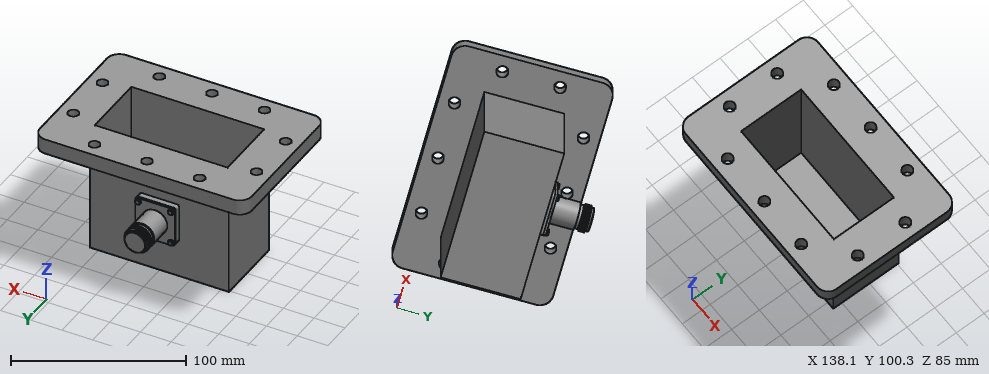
import cadquery as cq


FLANGE_LENGTH = 138.1
FLANGE_WIDTH = 95.3
FLANGE_THICKNESS = 10.0
FLANGE_CORNER_RADIUS = 8.0
BOLT_HOLE_DIAMETER = 6.8
BOLT_PITCH = 34.2
BOLT_ROW_Y = 38.3
BOLT_COLUMN_X = 59.7

OVERALL_HEIGHT = 85.0
BORE_LENGTH = 86.5
BORE_WIDTH = 43.2
WALL_THICKNESS = 2.1
END_PLATE_THICKNESS = 2.3
TUBE_LENGTH = BORE_LENGTH + 2 * WALL_THICKNESS
TUBE_WIDTH = BORE_WIDTH + 2 * WALL_THICKNESS
TUBE_BOTTOM_Z = END_PLATE_THICKNESS - OVERALL_HEIGHT

CONNECTOR_Z = -48.0
PAD_SIDE = 25.7
PAD_CORNER_RADIUS = 1.5
PAD_THICKNESS = 3.9
CONNECTOR_FLANGE_THICKNESS = 1.5
TUBE_FACE_Y = TUBE_WIDTH / 2
PAD_FACE_Y = TUBE_FACE_Y + PAD_THICKNESS
CONNECTOR_FACE_Y = PAD_FACE_Y + CONNECTOR_FLANGE_THICKNESS

CONNECTOR_REACH = 5.0
NOSE_TIP_Y = FLANGE_WIDTH / 2 + CONNECTOR_REACH
BARREL_RADIUS = 8.1
BARREL_END_Y = 44.2
NECK_RADIUS = 7.2
NECK_END_Y = 46.1
THREAD_ROOT_RADIUS = 7.0
THREAD_CREST_RADIUS = 8.0
THREAD_CREST_WIDTH = 0.3
THREAD_PITCH = 1.06
THREAD_RIDGES = 4
THREAD_START_Y = 46.7
NOSE_CHAMFER = 0.4

SCREW_SPACING = 21.4
SCREW_HEAD_DIAMETER = 3.6
SCREW_HEAD_HEIGHT = 1.4
SCREW_HEAD_CHAMFER = 0.4


def bolt_positions():
    """Three holes along each long edge and two along each short edge."""
    rows = [(column * BOLT_PITCH, side * BOLT_ROW_Y) for column in (-1, 0, 1) for side in (-1, 1)]
    columns = [(side * BOLT_COLUMN_X, half * BOLT_PITCH / 2) for side in (-1, 1) for half in (-1, 1)]
    return rows + columns


def plane_facing_y(y):
    """Plane at the given Y, normal to +Y, centred on the connector axis."""
    return cq.Workplane(cq.Plane(origin=(0, y, CONNECTOR_Z), xDir=(-1, 0, 0), normal=(0, 1, 0)))


def connector_square(start_y, thickness):
    """Square plate with rounded corners, square to the connector axis."""
    plate = plane_facing_y(start_y).rect(PAD_SIDE, PAD_SIDE).extrude(thickness)
    return plate.edges("|Y").fillet(PAD_CORNER_RADIUS)


def make_flange():
    flange = cq.Workplane("XY").rect(FLANGE_LENGTH, FLANGE_WIDTH).extrude(-FLANGE_THICKNESS)
    flange = flange.edges("|Z").fillet(FLANGE_CORNER_RADIUS)
    bolt_centres = cq.Workplane("XY").pushPoints(bolt_positions())
    holes = bolt_centres.circle(BOLT_HOLE_DIAMETER / 2).extrude(-FLANGE_THICKNESS)
    return flange.cut(holes)


def make_housing():
    """Flange, tube, closing end plate and connector pad as one solid."""
    tube = cq.Workplane("XY").rect(TUBE_LENGTH, TUBE_WIDTH).extrude(TUBE_BOTTOM_Z)
    bore = cq.Workplane("XY").rect(BORE_LENGTH, BORE_WIDTH).extrude(TUBE_BOTTOM_Z)
    end_plate = (
        cq.Workplane("XY")
        .workplane(offset=TUBE_BOTTOM_Z)
        .rect(TUBE_LENGTH, TUBE_WIDTH)
        .extrude(-END_PLATE_THICKNESS)
    )
    pad = connector_square(TUBE_FACE_Y, PAD_THICKNESS)
    open_tube = make_flange().union(tube).union(pad).cut(bore)
    return open_tube.union(end_plate, clean=False)


def make_barrel():
    """Barrel, neck and nose turned about the connector axis."""
    barrel_length = BARREL_END_Y - CONNECTOR_FACE_Y
    barrel = plane_facing_y(CONNECTOR_FACE_Y).circle(BARREL_RADIUS).extrude(barrel_length)
    neck = plane_facing_y(BARREL_END_Y).circle(NECK_RADIUS).extrude(NECK_END_Y - BARREL_END_Y)
    nose = plane_facing_y(NECK_END_Y).circle(THREAD_ROOT_RADIUS).extrude(NOSE_TIP_Y - NECK_END_Y)
    nose = nose.faces(">Y").chamfer(NOSE_CHAMFER)
    return barrel.union(neck).union(nose)


def make_thread_ridge(index):
    """One ridge of the nose thread, simplified to a ring with sloping flanks and a flat crest."""
    start_y = THREAD_START_Y + index * THREAD_PITCH
    end_y = start_y + THREAD_PITCH
    flank_width = (THREAD_PITCH - THREAD_CREST_WIDTH) / 2
    ridge = (
        cq.Workplane("XY")
        .moveTo(0, start_y)
        .lineTo(THREAD_ROOT_RADIUS, start_y)
        .lineTo(THREAD_CREST_RADIUS, start_y + flank_width)
        .lineTo(THREAD_CREST_RADIUS, end_y - flank_width)
        .lineTo(THREAD_ROOT_RADIUS, end_y)
        .lineTo(0, end_y)
        .close()
        .revolve(360, (0, 0, 0), (0, 1, 0))
    )
    return ridge.translate((0, 0, CONNECTOR_Z))


def make_screw_heads():
    heads = (
        plane_facing_y(CONNECTOR_FACE_Y)
        .rect(SCREW_SPACING, SCREW_SPACING, forConstruction=True)
        .vertices()
        .circle(SCREW_HEAD_DIAMETER / 2)
        .extrude(SCREW_HEAD_HEIGHT)
    )
    return heads.faces(">Y").chamfer(SCREW_HEAD_CHAMFER)


def make_connector():
    """Flange-mount coax connector with its screw heads and threaded nose."""
    connector = connector_square(PAD_FACE_Y, CONNECTOR_FLANGE_THICKNESS)
    connector = connector.union(make_barrel()).union(make_screw_heads())
    for index in range(THREAD_RIDGES):
        connector = connector.union(make_thread_ridge(index))
    return connector


housing = make_housing().solids()
connector = make_connector().solids()
result = cq.Compound.makeCompound([housing.val(), connector.val()])